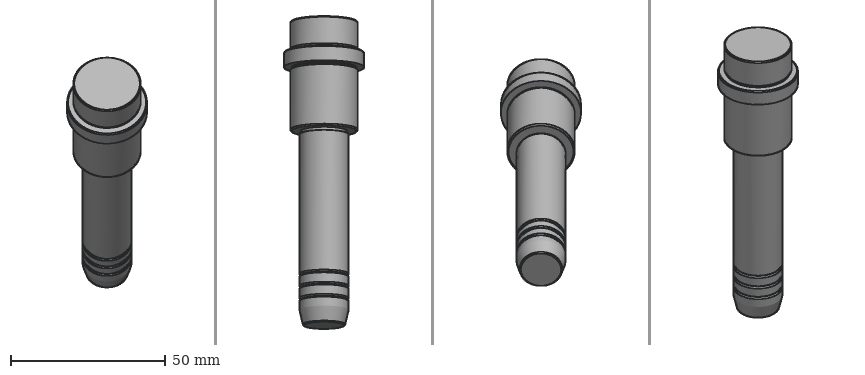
import cadquery as cq

head_radius = 11.0
collar_radius = 13.0
relief_radius = 10.5
neck_radius = 7.5
shaft_radius = 8.0
tip_radius = 6.9

total_height = 100.0
head_bottom = total_height - 9.0
collar_top = total_height - 10.0
collar_bottom = collar_top - 5.0
sleeve_top = collar_bottom - 1.0
sleeve_bottom = total_height - 36.0
shaft_top = sleeve_bottom - 1.0
nose_height = 5.1

edge_chamfer = 0.4
sleeve_chamfer = 0.5
tip_chamfer = 0.4
relief_depth = head_radius - relief_radius

nose_bulge = 0.05

groove_count = 3
groove_pitch = 4.0
lowest_groove_height = 8.5
groove_width = 1.0
groove_depth = 0.5


def make_pin():
    """Revolve the stepped outline, from the tip up to the head."""
    nose_middle = (
        (tip_radius + shaft_radius) / 2 + nose_bulge,
        (tip_chamfer + nose_height) / 2,
    )
    outline = (
        cq.Workplane("XZ")
        .lineTo(tip_radius - tip_chamfer, 0)
        .lineTo(tip_radius, tip_chamfer)
        .threePointArc(nose_middle, (shaft_radius, nose_height))
        .lineTo(shaft_radius, shaft_top)
        .lineTo(neck_radius, shaft_top)
        .lineTo(neck_radius, sleeve_bottom)
        .lineTo(head_radius - sleeve_chamfer, sleeve_bottom)
        .lineTo(head_radius, sleeve_bottom + sleeve_chamfer)
        .lineTo(head_radius, sleeve_top)
        .lineTo(relief_radius, sleeve_top + relief_depth)
        .lineTo(relief_radius, collar_bottom)
        .lineTo(collar_radius, collar_bottom)
        .lineTo(collar_radius, collar_top - edge_chamfer)
        .lineTo(collar_radius - edge_chamfer, collar_top)
        .lineTo(relief_radius, collar_top)
        .lineTo(relief_radius, head_bottom - relief_depth)
        .lineTo(head_radius, head_bottom)
        .lineTo(head_radius, total_height - edge_chamfer)
        .lineTo(head_radius - edge_chamfer, total_height)
        .lineTo(0, total_height)
        .close()
    )
    return outline.revolve(360, (0, 0), (0, 1))


def make_oil_groove(height):
    """Ring with a triangular section whose apex points at the axis."""
    half_width = groove_width / 2
    section = cq.Workplane("XZ").polyline([
        (shaft_radius, height - half_width),
        (shaft_radius - groove_depth, height),
        (shaft_radius, height + half_width),
    ]).close()
    return section.revolve(360, (0, 0), (0, 1))


result = make_pin()
for index in range(groove_count):
    result = result.cut(make_oil_groove(lowest_groove_height + index * groove_pitch))